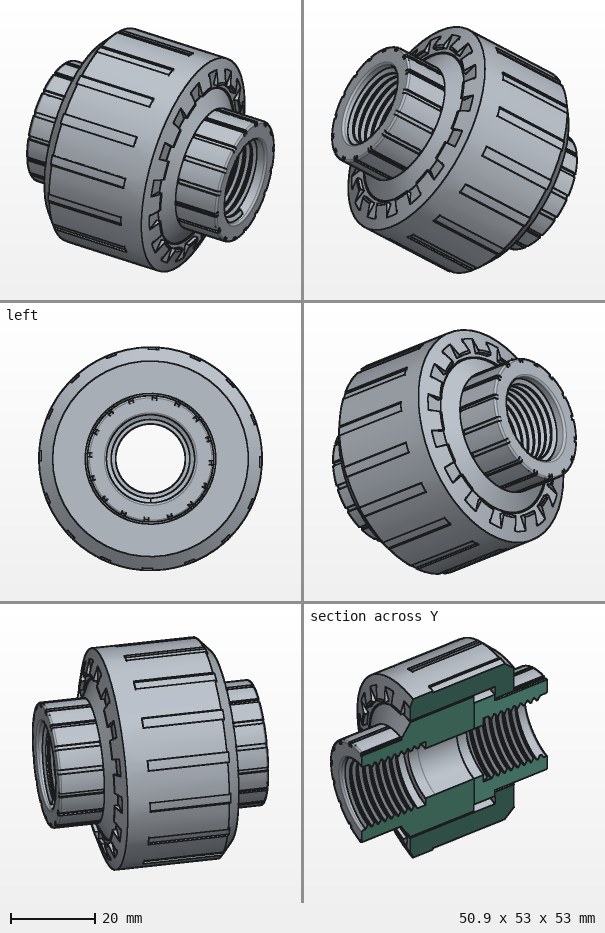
import cadquery as cq
import math


LENGTH = 50.9
END_X = LENGTH / 2
GROOVE_COUNT = 16
GROOVE_PITCH = 360.0 / GROOVE_COUNT
TAIL_GROOVE_ANGLE = 3.8
BODY_GROOVE_ANGLE = -0.2
NUT_GROOVE_ANGLE = 1.6

PIPE_RADIUS = 15.0
PIPE_ROUNDING = 0.5
PIPE_GROOVE_DEPTH = 0.55
PIPE_GROOVE_WIDTH = 1.0

BORE_RADIUS = 16.5 / 2
SOCKET_RADIUS = 20.95 / 2
SOCKET_DEPTH = 17.5
MOUTH_ROUNDING = 0.55
THREAD_MINOR_RADIUS = 9.35
THREAD_PITCH = 1.8
THREAD_TURNS = 8
THREAD_CREST_WIDTH = 0.4
THREAD_FLANK_ANGLE = 27.5
THREAD_START_DEPTH = 1.85
THREAD_ROOT_OVERLAP = 0.05

NUT_RADIUS = 26.5
NUT_FACE_X = -16.3
NUT_FACE_RADIUS = 23.2
NUT_CHAMFER_X = -13.3
NUT_CONE_X = 11.4
NUT_END_X = 13.3
NUT_END_RADIUS = 41.8 / 2
NUT_HOLE_RADIUS = 31.0 / 2
NUT_WALL = 5.3
NUT_CAVITY_RADIUS = 38.9 / 2
NUT_MOUTH_RADIUS = 20.35
NUT_GROOVE_DEPTH = 0.55
NUT_GROOVE_WIDTH = 2.45
NUT_GROOVE_END_X = 5.95
NOTCH_DEPTH = 1.05
NOTCH_FLOOR_X = NUT_END_X - NOTCH_DEPTH
NOTCH_ANGLE = 10.0

JOINT_X = -5.3
TAIL_FLANGE_RADIUS = 34.0 / 2
TAIL_FLANGE_X = NUT_FACE_X + NUT_WALL
BODY_FLANGE_RADIUS = 38.4 / 2
BODY_CONE_START_X = 12.1
BODY_CONE_END_X = 14.5

PIPE_GROOVE_LENGTH = END_X - BODY_CONE_END_X
PIPE_LENGTH = END_X + JOINT_X
PIPE_INNER_X = PIPE_LENGTH - END_X


def revolve(points):
    """Turn a closed outline of (x, radius) points around the X axis."""
    outline = cq.Workplane("XY").polyline(points).close()
    return outline.revolve(360, (0, 0, 0), (1, 0, 0))


def cylinder(start_x, length, radius):
    return cq.Workplane("YZ", origin=(start_x, 0, 0)).circle(radius).extrude(length)


def rounded_cylinder(length, radius):
    """A pipe-end cylinder from -END_X, with its outer edge rounded."""
    return cylinder(-END_X, length, radius).faces("<X").edges().fillet(PIPE_ROUNDING)


def slot_block(start_x, length, reach, width):
    """A flat block from the axis out to +Y, for cutting lengthwise grooves."""
    block = cq.Workplane("XY").box(length, reach, width, centered=(False, False, True))
    return block.translate((start_x, 0, 0))


def turned(shape, angle):
    """Turn a shape about the X axis."""
    return shape.rotate((0, 0, 0), (1, 0, 0), angle)


def cut_around(shape, tool, first_angle):
    """Cut evenly spaced copies of a tool around the X axis."""
    for number in range(GROOVE_COUNT):
        shape = shape.cut(turned(tool, first_angle + number * GROOVE_PITCH))
    return shape




def grooved_pipe():
    """A solid pipe whose groove floors follow the rounding of its end."""
    core = rounded_cylinder(PIPE_GROOVE_LENGTH, PIPE_RADIUS - PIPE_GROOVE_DEPTH)
    slot = slot_block(-END_X, PIPE_GROOVE_LENGTH, PIPE_RADIUS, PIPE_GROOVE_WIDTH)
    blank = rounded_cylinder(PIPE_LENGTH, PIPE_RADIUS)
    return cut_around(blank, slot, 0).union(core)


def socket_room():
    """The room inside the socket, with a rounded mouth."""
    mouth_radius = SOCKET_RADIUS + MOUTH_ROUNDING
    mouth_end_x = -END_X + MOUTH_ROUNDING
    floor_x = -END_X + SOCKET_DEPTH
    arc_offset = MOUTH_ROUNDING * (1 - math.sqrt(0.5))
    outline = (
        cq.Workplane("XY")
        .moveTo(-END_X, 0)
        .lineTo(-END_X, mouth_radius)
        .threePointArc((-END_X + arc_offset, SOCKET_RADIUS + arc_offset), (mouth_end_x, SOCKET_RADIUS))
        .lineTo(floor_x, SOCKET_RADIUS)
        .lineTo(floor_x, 0)
        .close()
    )
    return outline.revolve(360, (0, 0, 0), (1, 0, 0))


def thread_ridge():
    """The right-handed helical ridge of the thread; it starts on the -Z side."""
    root_radius = SOCKET_RADIUS + THREAD_ROOT_OVERLAP
    half_crest = THREAD_CREST_WIDTH / 2
    flank_slope = math.tan(math.radians(THREAD_FLANK_ANGLE))
    half_root = half_crest + (root_radius - THREAD_MINOR_RADIUS) * flank_slope
    helix = cq.Wire.makeHelix(THREAD_PITCH, THREAD_PITCH * THREAD_TURNS, SOCKET_RADIUS)
    profile = [
        (root_radius, -half_root),
        (THREAD_MINOR_RADIUS, -half_crest),
        (THREAD_MINOR_RADIUS, half_crest),
        (root_radius, half_root),
    ]
    ridge = cq.Workplane("XZ").polyline(profile).close().sweep(cq.Workplane(helix), isFrenet=True)
    along_x = ridge.rotate((0, 0, 0), (0, 1, 0), 90)
    return along_x.translate((-END_X + THREAD_START_DEPTH, 0, 0))


def make_threaded_pipe():
    room = socket_room().cut(thread_ridge(), clean=False)
    room = room.union(cylinder(-END_X, PIPE_LENGTH, BORE_RADIUS), clean=False)
    return grooved_pipe().cut(turned(room, -TAIL_GROOVE_ANGLE), clean=False)




def make_tailpiece(pipe):
    flange = revolve(
        [
            (TAIL_FLANGE_X, PIPE_RADIUS),
            (TAIL_FLANGE_X, TAIL_FLANGE_RADIUS),
            (JOINT_X, TAIL_FLANGE_RADIUS),
            (JOINT_X, PIPE_RADIUS),
        ]
    )
    return turned(pipe, TAIL_GROOVE_ANGLE).union(flange, clean=False)


def make_body(pipe):
    flange = revolve(
        [
            (JOINT_X, BORE_RADIUS),
            (JOINT_X, BODY_FLANGE_RADIUS),
            (BODY_CONE_START_X, BODY_FLANGE_RADIUS),
            (BODY_CONE_END_X, PIPE_RADIUS),
            (-PIPE_INNER_X, PIPE_RADIUS),
            (-PIPE_INNER_X, BORE_RADIUS),
        ]
    )
    facing_plus_x = pipe.rotate((0, 0, 0), (0, 0, 1), 180)
    return turned(facing_plus_x, BODY_GROOVE_ANGLE).union(flange, clean=False)


def nut_groove():
    """A shallow groove along the outside of the nut, with a floor concentric to it."""
    length = NUT_GROOVE_END_X - NUT_FACE_X
    block = slot_block(NUT_FACE_X, length, NUT_RADIUS, NUT_GROOVE_WIDTH)
    return block.cut(cylinder(NUT_FACE_X, length, NUT_RADIUS - NUT_GROOVE_DEPTH))


def rim_notch():
    """A wedge with radial side walls that notches the +X rim of the nut."""
    half_width = NUT_RADIUS * math.tan(math.radians(NOTCH_ANGLE / 2))
    corners = [(0, 0), (NUT_RADIUS, -half_width), (NUT_RADIUS, half_width)]
    return cq.Workplane("YZ", origin=(NOTCH_FLOOR_X, 0, 0)).polyline(corners).close().extrude(NOTCH_DEPTH)


def make_nut():
    shell = revolve(
        [
            (NUT_FACE_X, NUT_HOLE_RADIUS),
            (NUT_FACE_X, NUT_FACE_RADIUS),
            (NUT_CHAMFER_X, NUT_RADIUS),
            (NUT_CONE_X, NUT_RADIUS),
            (NUT_END_X, NUT_END_RADIUS),
            (NUT_END_X, NUT_MOUTH_RADIUS),
            (NOTCH_FLOOR_X, NUT_MOUTH_RADIUS),
            (NOTCH_FLOOR_X, NUT_CAVITY_RADIUS),
            (TAIL_FLANGE_X, NUT_CAVITY_RADIUS),
            (TAIL_FLANGE_X, NUT_HOLE_RADIUS),
        ]
    )
    grooved = cut_around(shell, nut_groove(), NUT_GROOVE_ANGLE)
    return cut_around(grooved, rim_notch(), NUT_GROOVE_ANGLE)


threaded_pipe = make_threaded_pipe()
tailpiece = make_tailpiece(threaded_pipe)
body = make_body(threaded_pipe)
nut = make_nut()

result = cq.Compound.makeCompound([tailpiece.val(), body.val(), nut.val()])